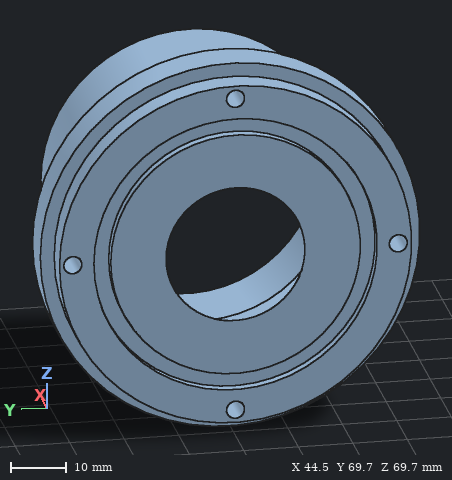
import cadquery as cq
import math

total_length = 44.45
flange_diameter = 69.65
flange_thickness = 7.6
spigot_diameter = 64.6
spigot_length = 5.1
barrel_diameter = 54.25
bore_front_diameter = 25.4
bore_half_angle = 20.0
bore_cone_length = 30.0

groove_outer_diameter = 51.95
groove_inner_diameter = 45.75
groove_depth = 2.0

bolt_hole_count = 4
bolt_hole_diameter = 3.3
bolt_circle_diameter = 59.7


def cylinder(diameter, start, length):
    """Solid cylinder along +X, beginning at the given X position."""
    return cq.Workplane("YZ", origin=(start, 0, 0)).circle(diameter / 2).extrude(length)


flange_end = spigot_length + flange_thickness
spigot = cylinder(spigot_diameter, 0, spigot_length)
flange = cylinder(flange_diameter, spigot_length, flange_thickness)
barrel = cylinder(barrel_diameter, flange_end, total_length - flange_end)
body = spigot.union(flange).union(barrel)

bore_front_radius = bore_front_diameter / 2
bore_rear_radius = bore_front_radius + bore_cone_length * math.tan(math.radians(bore_half_angle))
bore = (
    cq.Workplane("XY")
    .lineTo(0, bore_front_radius)
    .lineTo(bore_cone_length, bore_rear_radius)
    .lineTo(total_length, bore_rear_radius)
    .lineTo(total_length, 0)
    .close()
    .revolve(360, (0, 0, 0), (1, 0, 0))
)

groove = cylinder(groove_outer_diameter, 0, groove_depth).cut(
    cylinder(groove_inner_diameter, 0, groove_depth)
)

bolt_holes = (
    cq.Workplane("YZ")
    .polarArray(bolt_circle_diameter / 2, 0, 360, bolt_hole_count)
    .circle(bolt_hole_diameter / 2)
    .extrude(flange_end)
)

result = body.cut(bore).cut(groove).cut(bolt_holes)